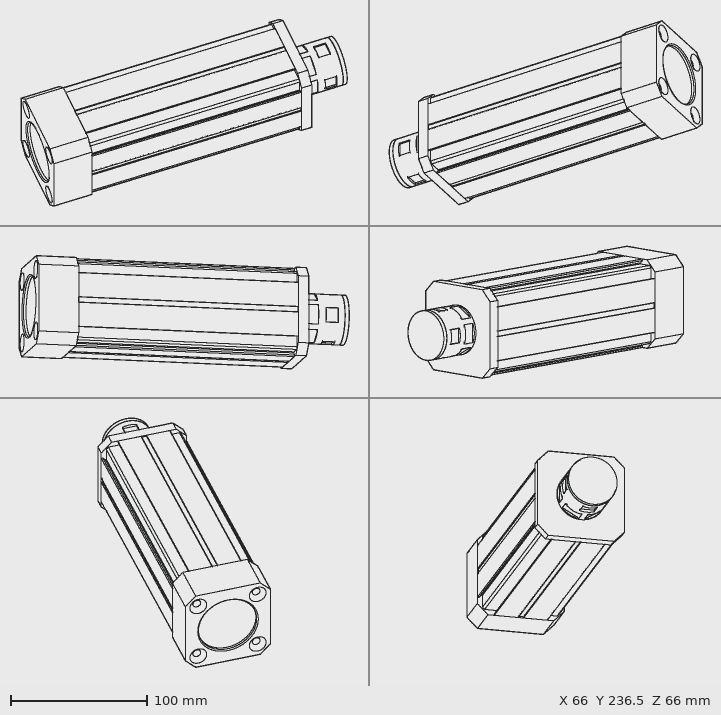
import cadquery as cq

TOTAL_LENGTH = 236.5
WIDTH = 66.0

CAP_LENGTH = 30.0
PLATE_THICKNESS = 8.0
CONNECTOR_LENGTH = 33.5
CORNER_COUNT = 4
CORNER_CHAMFER = 8.0

SCREW_OFFSET = 23.0
SCREW_HOLE_DIAMETER = 6.0
COUNTERSINK_DIAMETER = 13.0
COUNTERSINK_ANGLE = 90

WINDOW_DIAMETER = 45.0
WINDOW_THICKNESS = 4.7
WINDOW_SETBACK = 2.8
WINDOW_RIM_CHAMFER = 1.0

PANEL_HALF_WIDTH = 20.0
PANEL_LIP = 1.2
UNDERCUT_WIDTH = 2.0
CORNER_HALF_WIDTH = 29.0
CORNER_BEVEL = 1.7
CENTRE_GROOVE_WIDTH = 4.0
CENTRE_GROOVE_DEPTH = 1.0

CONNECTOR_DIAMETER = 37.0
RING_GROOVE_DIAMETER = 32.0
RING_GROOVE_WIDTH = 0.2
RING_LENGTH = 3.0
WRENCH_FLAT_COUNT = 6
WRENCH_FLAT_RADIUS = 16.8
WRENCH_FLAT_WIDTH = 14.5
WRENCH_FLAT_LENGTH = 9.0
WRENCH_FLAT_START = 1.7
POCKET_COUNT = 4
POCKET_RADIUS = 16.3
POCKET_WIDTH = 11.0
POCKET_LENGTH = 9.2
POCKET_START = 16.3

HALF_WIDTH = WIDTH / 2
PLATE_END = TOTAL_LENGTH - CONNECTOR_LENGTH
BODY_END = PLATE_END - PLATE_THICKNESS
BODY_LENGTH = BODY_END - CAP_LENGTH


def section_at(y):
    """Workplane across the axis at y, facing +Y, with local x along -X and local y along Z."""
    return cq.Workplane(cq.Plane(origin=(0, y, 0), xDir=(-1, 0, 0), normal=(0, 1, 0)))


def cylinder(diameter, y, length):
    return section_at(y).circle(diameter / 2).extrude(length)


def chamfered_block(y, length):
    block = section_at(y).rect(WIDTH, WIDTH).extrude(length)
    return block.edges("|Y").chamfer(CORNER_CHAMFER)


def make_front_cap():
    cap = chamfered_block(0, CAP_LENGTH)

    cap = cap.cut(cylinder(WINDOW_DIAMETER, 0, WINDOW_SETBACK + WINDOW_THICKNESS))
    rim_radius = WINDOW_DIAMETER / 2 + WINDOW_RIM_CHAMFER
    rim = cq.Solid.makeCone(
        rim_radius, WINDOW_DIAMETER / 2, WINDOW_RIM_CHAMFER, cq.Vector(0, 0, 0), cq.Vector(0, 1, 0)
    )
    cap = cap.cut(cq.Workplane(rim))

    return (
        cap.faces("<Y")
        .workplane(origin=(0, 0, 0))
        .rect(2 * SCREW_OFFSET, 2 * SCREW_OFFSET, forConstruction=True)
        .vertices()
        .cskHole(SCREW_HOLE_DIAMETER, COUNTERSINK_DIAMETER, COUNTERSINK_ANGLE)
    )


def make_window():
    return cylinder(WINDOW_DIAMETER, WINDOW_SETBACK, WINDOW_THICKNESS)


def corner_outline():
    """Outline around one corner, from one side's centre groove to the next side's groove."""
    groove = CENTRE_GROOVE_WIDTH / 2
    lip = HALF_WIDTH - PANEL_LIP
    undercut = PANEL_HALF_WIDTH - UNDERCUT_WIDTH
    bevel = CORNER_HALF_WIDTH - CORNER_BEVEL
    half = [
        (groove, HALF_WIDTH - CENTRE_GROOVE_DEPTH),
        (groove, HALF_WIDTH),
        (PANEL_HALF_WIDTH, HALF_WIDTH),
        (PANEL_HALF_WIDTH, lip),
        (undercut, lip - UNDERCUT_WIDTH),
        (undercut, CORNER_HALF_WIDTH),
        (bevel, CORNER_HALF_WIDTH),
    ]
    return half + [(y, x) for x, y in reversed(half)]


def make_extrusion():
    outline = []
    corner = corner_outline()
    for _ in range(CORNER_COUNT):
        outline += corner
        corner = [(y, -x) for x, y in corner]
    return section_at(CAP_LENGTH).polyline(outline).close().extrude(BODY_LENGTH)


def make_end_plate():
    return chamfered_block(BODY_END, PLATE_THICKNESS)


def side_cutter(floor_radius, width, start, length, angle):
    """Block above floor_radius, turned by angle about the connector axis from +X."""
    height = CONNECTOR_DIAMETER / 2
    block = cq.Workplane("XY").box(height, length, width, centered=(False, False, True))
    block = block.translate((floor_radius, PLATE_END + start, 0))
    return block.rotate((0, 0, 0), (0, 1, 0), angle)


def make_connector():
    connector = cylinder(CONNECTOR_DIAMETER, PLATE_END, CONNECTOR_LENGTH)

    for index in range(WRENCH_FLAT_COUNT):
        angle = index * 360 / WRENCH_FLAT_COUNT
        connector = connector.cut(
            side_cutter(
                WRENCH_FLAT_RADIUS, WRENCH_FLAT_WIDTH, WRENCH_FLAT_START, WRENCH_FLAT_LENGTH, angle
            )
        )

    for index in range(POCKET_COUNT):
        angle = index * 360 / POCKET_COUNT
        connector = connector.cut(
            side_cutter(POCKET_RADIUS, POCKET_WIDTH, POCKET_START, POCKET_LENGTH, angle)
        )

    groove_start = TOTAL_LENGTH - RING_LENGTH - RING_GROOVE_WIDTH
    groove = cylinder(2 * CONNECTOR_DIAMETER, groove_start, RING_GROOVE_WIDTH)
    groove = groove.cut(cylinder(RING_GROOVE_DIAMETER, groove_start, RING_GROOVE_WIDTH))
    return connector.cut(groove)


front_cap = make_front_cap()
window = make_window()
extrusion = make_extrusion()
end_plate = make_end_plate()
connector = make_connector()

result = cq.Compound.makeCompound(
    [front_cap.val(), window.val(), extrusion.val(), end_plate.val(), connector.val()]
)